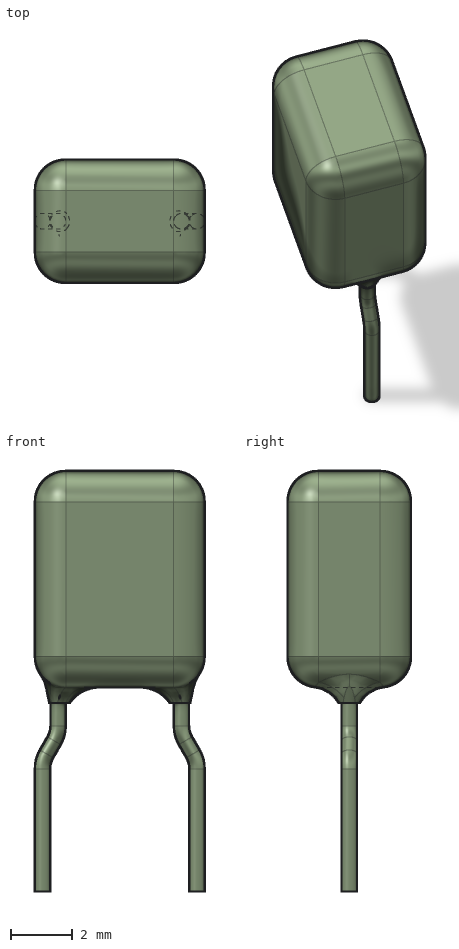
import cadquery as cq
import math

total_height = 13.6
block_width = 5.5
block_depth = 4.0
block_height = 7.0
edge_radius = 1.0
block_bottom = total_height - block_height

collar_drop = 0.5
collar_radius = 0.29
collar_taper = 12
flare_radius = 1.14
collar_bottom = block_bottom - collar_drop
stub_length = collar_drop + edge_radius
stub_top_radius = collar_radius + stub_length * math.tan(math.radians(collar_taper))

lead_diameter = 0.5
lead_radius = lead_diameter / 2
lead_outer_x = block_width / 2 - lead_radius
kink_offset = 0.5
lead_inner_x = lead_outer_x - kink_offset
kink_bottom = 3.97
bend_radius = 0.97
bend_angle = math.radians(30)

bend_shift = bend_radius * (1 - math.cos(bend_angle))
bend_rise = bend_radius * math.sin(bend_angle)
slope_shift = kink_offset - 2 * bend_shift
slope_rise = slope_shift / math.tan(bend_angle)
kink_top = kink_bottom + 2 * bend_rise + slope_rise

half_bend_shift = bend_radius * (1 - math.cos(bend_angle / 2))
half_bend_rise = bend_radius * math.sin(bend_angle / 2)


def make_stub(side):
    """Cone around a lead, narrowing downward past the collar's end so the flare has room to blend."""
    extra_length = flare_radius / 2
    tip_radius = collar_radius - extra_length * math.tan(math.radians(collar_taper))
    return cq.Workplane(
        cq.Solid.makeCone(
            tip_radius,
            stub_top_radius,
            stub_length + extra_length,
            pnt=cq.Vector(side * lead_inner_x, 0, collar_bottom - extra_length),
        )
    )


def make_housing():
    """Rounded block with a flared collar over each lead."""
    block = (
        cq.Workplane("XY", origin=(0, 0, block_bottom))
        .box(block_width, block_depth, block_height, centered=(True, True, False))
        .edges()
        .fillet(edge_radius)
    )
    flared = block.union(make_stub(-1)).union(make_stub(1))
    joints = cq.selectors.BoxSelector(
        (-block_width, -stub_top_radius, collar_bottom + collar_drop / 2),
        (block_width, stub_top_radius, block_bottom + edge_radius / 2),
    )
    flared = flared.edges(joints).fillet(flare_radius)
    keep = cq.Workplane("XY", origin=(0, 0, collar_bottom)).box(
        block_width, block_depth, total_height - collar_bottom, centered=(True, True, False)
    )
    return flared.intersect(keep)


def make_lead(side):
    """Kinked round wire; side is -1 for the left lead and +1 for the right."""
    bottom_bend_end = (side * (lead_outer_x - bend_shift), kink_bottom + bend_rise)
    top_bend_start = (side * (lead_inner_x + bend_shift), kink_top - bend_rise)
    path = (
        cq.Workplane("XZ")
        .moveTo(side * lead_outer_x, 0)
        .lineTo(side * lead_outer_x, kink_bottom)
        .threePointArc(
            (side * (lead_outer_x - half_bend_shift), kink_bottom + half_bend_rise),
            bottom_bend_end,
        )
        .lineTo(*top_bend_start)
        .threePointArc(
            (side * (lead_inner_x + half_bend_shift), kink_top - half_bend_rise),
            (side * lead_inner_x, kink_top),
        )
        .lineTo(side * lead_inner_x, collar_bottom)
    )
    return cq.Workplane("XY").center(side * lead_outer_x, 0).circle(lead_radius).sweep(path)


housing = make_housing()
leads = [make_lead(side) for side in (-1, 1)]

result = cq.Compound.makeCompound([housing.val(), *[lead.val() for lead in leads]])